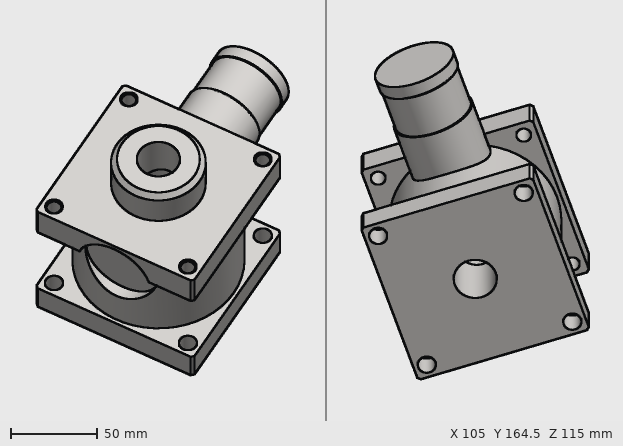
import cadquery as cq

FLANGE_SIDE = 105.0
CORNER_CHAMFER = 1.6
LOWER_FLANGE_HEIGHT = 18.0
BARREL_HEIGHT = 54.1
UPPER_FLANGE_HEIGHT = 19.9
BARREL_DIAMETER = 100.0

BOSS_DIAMETER = 55.0
BOSS_HEIGHT = 23.0
BOSS_CHAMFER_RADIAL = 3.5
BOSS_CHAMFER_HEIGHT = 3.3
BORE_DIAMETER = 25.0

BOLT_SPACING = 89.0
UPPER_HOLE_DIAMETER = 8.5
UPPER_HOLE_RIM_DIAMETER = 10.2
UPPER_HOLE_RIM_ANGLE = 90
LOWER_HOLE_DIAMETER = 10.5

SPINDLE_DIAMETER = 48.0
SPINDLE_AXIS_HEIGHT = 65.0
NECK_DIAMETER = 46.4
NECK_LENGTH = 26.5
COLLAR_LENGTH = 8.2
OVERALL_LENGTH = 164.5
SPINDLE_RECESS = 10.0

upper_flange_bottom = LOWER_FLANGE_HEIGHT + BARREL_HEIGHT
upper_flange_top = upper_flange_bottom + UPPER_FLANGE_HEIGHT
total_height = upper_flange_top + BOSS_HEIGHT
flange_front = -FLANGE_SIDE / 2
spindle_front = flange_front + SPINDLE_RECESS
spindle_back = flange_front + OVERALL_LENGTH


def cylinder_up(diameter, bottom, height):
    """Vertical cylinder on the central axis."""
    return cq.Workplane("XY").workplane(offset=bottom).circle(diameter / 2).extrude(height)


def cylinder_along_y(diameter, start, end):
    """Cylinder on the spindle axis, between two Y positions."""
    plane = cq.Plane(origin=(0, start, SPINDLE_AXIS_HEIGHT), xDir=(1, 0, 0), normal=(0, 1, 0))
    return cq.Workplane(plane).circle(diameter / 2).extrude(end - start)


def make_flange(bottom, height):
    """Square plate with bevelled vertical corners."""
    plate = cq.Workplane("XY").workplane(offset=bottom).rect(FLANGE_SIDE, FLANGE_SIDE).extrude(height)
    return plate.edges("|Z").chamfer(CORNER_CHAMFER)


def make_lower_flange():
    flange = make_flange(0, LOWER_FLANGE_HEIGHT)
    bolt_square = flange.faces(">Z").workplane().rect(BOLT_SPACING, BOLT_SPACING, forConstruction=True)
    return bolt_square.vertices().hole(LOWER_HOLE_DIAMETER)


def make_upper_flange():
    """Plate whose bolt holes each have a small countersunk rim."""
    flange = make_flange(upper_flange_bottom, UPPER_FLANGE_HEIGHT)
    bolt_square = flange.faces(">Z").workplane().rect(BOLT_SPACING, BOLT_SPACING, forConstruction=True)
    return bolt_square.vertices().cskHole(
        UPPER_HOLE_DIAMETER, UPPER_HOLE_RIM_DIAMETER, UPPER_HOLE_RIM_ANGLE
    )


def make_boss():
    boss = cylinder_up(BOSS_DIAMETER, upper_flange_top, BOSS_HEIGHT)
    return boss.faces(">Z").chamfer(BOSS_CHAMFER_HEIGHT, BOSS_CHAMFER_RADIAL)


def make_vertical_bore():
    return cylinder_up(BORE_DIAMETER, 0, total_height)


def make_housing():
    """Flanged barrel with a vertical bore and a through bore for the spindle."""
    barrel = cylinder_up(BARREL_DIAMETER, LOWER_FLANGE_HEIGHT, BARREL_HEIGHT)
    housing = make_lower_flange().union(barrel).union(make_upper_flange()).union(make_boss())
    spindle_bore = cylinder_along_y(SPINDLE_DIAMETER, flange_front, -flange_front)
    return housing.cut(make_vertical_bore()).cut(spindle_bore)


def make_spindle():
    """Round spindle with a shallow neck before its end collar and a vertical cross hole."""
    collar_start = spindle_back - COLLAR_LENGTH
    neck_start = collar_start - NECK_LENGTH
    shank = cylinder_along_y(SPINDLE_DIAMETER, spindle_front, neck_start)
    neck = cylinder_along_y(NECK_DIAMETER, neck_start, collar_start)
    collar = cylinder_along_y(SPINDLE_DIAMETER, collar_start, spindle_back)
    return shank.union(neck).union(collar).cut(make_vertical_bore())


housing = make_housing()
spindle = make_spindle()

result = cq.Compound.makeCompound([housing.val(), spindle.val()])